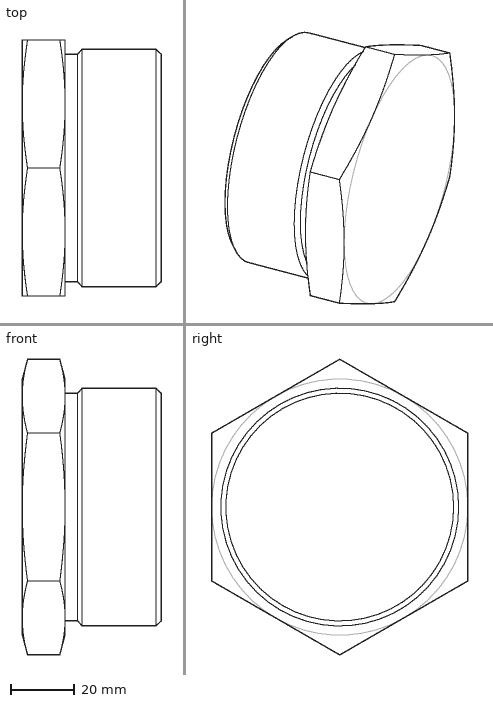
import cadquery as cq
import math

SIDES = 6
CORNER_RADIUS = 46.8
FLAT_RADIUS = CORNER_RADIUS * math.cos(math.pi / SIDES)
HEAD_THICKNESS = 13.6
CORNER_CHAMFER_ANGLE = 15.0

TOTAL_LENGTH = 44.0
THREAD_RADIUS = 37.6
RELIEF_RADIUS = 36.0
RELIEF_END = 17.5
LEAD_IN_LENGTH = 1.4
TIP_CHAMFER_LENGTH = 1.7
TIP_RADIUS = RELIEF_RADIUS


def revolve_about_x(profile):
    """Revolve a closed (x, radius) outline about the X axis."""
    return cq.Workplane("XY").polyline(profile).close().revolve(360, (0, 0, 0), (1, 0, 0))


def make_head():
    """Hexagon with both faces coned down to the circle that touches its flats."""
    hexagon = (
        cq.Workplane("YZ")
        .polygon(SIDES, 2 * CORNER_RADIUS)
        .extrude(HEAD_THICKNESS)
        .rotate((0, 0, 0), (1, 0, 0), 90)
    )
    chamfer_depth = (CORNER_RADIUS - FLAT_RADIUS) * math.tan(math.radians(CORNER_CHAMFER_ANGLE))
    envelope = revolve_about_x([
        (0, 0),
        (0, FLAT_RADIUS),
        (chamfer_depth, CORNER_RADIUS),
        (HEAD_THICKNESS - chamfer_depth, CORNER_RADIUS),
        (HEAD_THICKNESS, FLAT_RADIUS),
        (HEAD_THICKNESS, 0),
    ])
    return hexagon.intersect(envelope)


def make_plug():
    """Thread relief, chamfered lead-in, thread cylinder and chamfered tip."""
    return revolve_about_x([
        (0, 0),
        (0, RELIEF_RADIUS),
        (RELIEF_END, RELIEF_RADIUS),
        (RELIEF_END + LEAD_IN_LENGTH, THREAD_RADIUS),
        (TOTAL_LENGTH - TIP_CHAMFER_LENGTH, THREAD_RADIUS),
        (TOTAL_LENGTH, TIP_RADIUS),
        (TOTAL_LENGTH, 0),
    ])


result = make_head().union(make_plug())